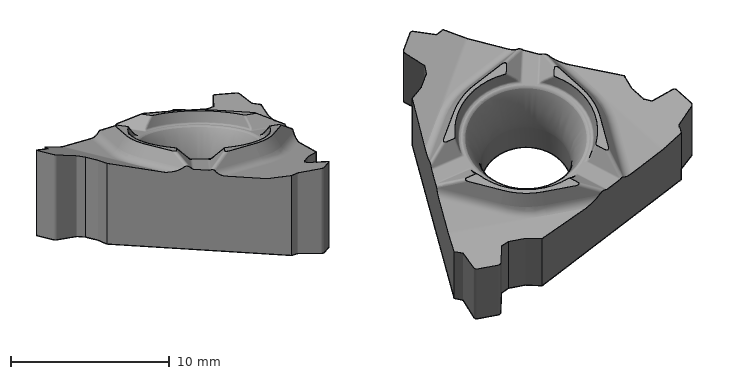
import cadquery as cq
import math

CORNERS = 3
CORNER_STEP = 360.0 / CORNERS
SQUARE_ANGLE = 90.0

total_height = 6.05
tooth_height = 5.58
chip_floor_height = 4.93
ledge_height = 5.25

side_distance = 6.35
shoulder_y = -7.45
tooth_root_y = -7.72
tooth_tip_y = -9.3
tooth_centre_x = -4.58
tooth_root_half_width = 1.25
tooth_tip_half_width = 0.84
shoulder_start_x = -2.83
shoulder_end_x = -1.73
heel_x = -0.73
tip_radius = 0.22
root_radius = 0.1

rake_start = 5.85
rake_blend = 0.084

boss_radius = 4.78
flank_angle = math.radians(34)
foot_radius = 0.76

groove_angle = -45.0
groove_shift = 0.07
groove_floor_width = 1.1
groove_top_width = 3.01
groove_floor_radius = 0.22
groove_wall_offset = 1.12
flank_edge_span = (5.4, 6.23)
flank_edge_radius = 0.22
recess_edge_span = (4.1, 4.46)
recess_edge_radius = 0.15

hole_diameter = 5.7
seat_bottom_height = 2.21
seat_mouth_radius = 3.89
lip_radius = 0.22
recess_floor_radius = 4.25
recess_top_radius = 4.5
recess_foot_radius = 0.19

REACH = 14.88
OVERSHOOT = 0.93
EDGE_MARGIN = 0.19
PICK_SIZE = 0.02


def around_axis(shape, index):
    return shape.rotate((0, 0, 0), (0, 0, 1), index * CORNER_STEP)


def repeat(shape):
    """Join one copy of the shape per corner."""
    joined = shape
    for index in range(1, CORNERS):
        joined = joined.union(around_axis(shape, index))
    return joined


def turn(point, degrees):
    """Rotate a plan point about the axis."""
    angle = math.radians(degrees)
    x, y = point
    return (x * math.cos(angle) - y * math.sin(angle), x * math.sin(angle) + y * math.cos(angle))


def outline_prism():
    """Plan outline of the insert at full height."""
    side_direction = math.radians(CORNER_STEP - SQUARE_ANGLE)
    heel_y = (heel_x * math.sin(side_direction) - side_distance) / math.cos(side_direction)
    corner = [
        (-side_distance, shoulder_y),
        (tooth_centre_x - tooth_root_half_width, tooth_root_y),
        (tooth_centre_x - tooth_tip_half_width, tooth_tip_y),
        (tooth_centre_x + tooth_tip_half_width, tooth_tip_y),
        (tooth_centre_x + tooth_root_half_width, tooth_root_y),
        (shoulder_start_x, shoulder_y),
        (shoulder_end_x, shoulder_y),
        (heel_x, heel_y),
    ]
    points = [turn(point, index * CORNER_STEP) for index in range(CORNERS) for point in corner]
    prism = cq.Workplane("XY").polyline(points).close().extrude(total_height)
    root_left, tip_left, tip_right, root_right = corner[1:5]
    rounded = [
        (root_left, root_radius),
        (tip_left, tip_radius),
        (tip_right, tip_radius),
        (root_right, root_radius),
    ]
    for point, radius in rounded:
        for index in range(CORNERS):
            x, y = turn(point, index * CORNER_STEP)
            near_corner = cq.selectors.BoxSelector(
                (x - PICK_SIZE, y - PICK_SIZE, 0), (x + PICK_SIZE, y + PICK_SIZE, total_height)
            )
            prism = prism.edges(near_corner).fillet(radius)
    return prism


def chip_floor():
    """Slab with a flat floor whose -Y end climbs along the rake face."""
    slope = (tooth_height - chip_floor_height) / (-tooth_tip_y - rake_start)
    slope_angle = math.atan(slope)
    blend_end = (
        -rake_start - rake_blend * math.cos(slope_angle),
        chip_floor_height + rake_blend * math.sin(slope_angle),
    )
    return (
        cq.Workplane("YZ", origin=(-REACH, 0, 0))
        .moveTo(REACH, 0)
        .lineTo(REACH, chip_floor_height)
        .lineTo(-rake_start + rake_blend, chip_floor_height)
        .tangentArcPoint(blend_end, relative=False)
        .lineTo(-REACH, chip_floor_height + slope * (REACH - rake_start))
        .lineTo(-REACH, 0)
        .close()
        .extrude(2 * REACH)
    )


def boss_profile(plane):
    """Half section of the boss, from the axis out to the round foot."""
    foot_top = chip_floor_height + foot_radius * (1 - math.sin(flank_angle))
    flank_foot = boss_radius + (total_height - foot_top) * math.tan(flank_angle)
    foot_end = flank_foot + foot_radius * math.cos(flank_angle)
    return (
        cq.Workplane(plane)
        .moveTo(0, 0)
        .lineTo(0, total_height)
        .lineTo(boss_radius, total_height)
        .lineTo(flank_foot, foot_top)
        .tangentArcPoint((foot_end, chip_floor_height), relative=False)
        .lineTo(foot_end, 0)
        .close()
    )


def boss():
    """Round stretches joined by square corners, one of each per insert corner."""
    side_flank = boss_profile("XZ").extrude(REACH)
    end_plane = cq.Plane(origin=(0, 0, 0), xDir=(0, -1, 0), normal=(-1, 0, 0))
    end_flank = boss_profile(end_plane).extrude(-REACH)
    square_corner = side_flank.intersect(end_flank)
    round_stretch = boss_profile("XZ").revolve(CORNER_STEP - SQUARE_ANGLE, (0, 0, 0), (0, 1, 0))
    return repeat(square_corner.union(round_stretch))


def groove():
    """Radial trapezoid groove with rounded floor edges, pointing along groove_angle."""
    height = total_height - ledge_height
    widening = (groove_top_width - groove_floor_width) / height
    open_height = height + OVERSHOOT
    floor_half_width = groove_floor_width / 2
    open_half_width = floor_half_width + open_height * widening / 2
    tool = (
        cq.Workplane("YZ")
        .polyline([
            (-floor_half_width, ledge_height),
            (floor_half_width, ledge_height),
            (open_half_width, ledge_height + open_height),
            (-open_half_width, ledge_height + open_height),
        ])
        .close()
        .extrude(REACH)
    )
    tool = tool.faces("<Z").edges("|X").fillet(groove_floor_radius)
    tool = tool.translate((0, -groove_shift, 0))
    return tool.rotate((0, 0, 0), (0, 0, 1), groove_angle)


def hole_tool():
    """Through hole, concave screw seat, ledge around its lip and recess up to the boss top."""
    hole_radius = hole_diameter / 2
    widening = seat_mouth_radius - hole_radius
    rise = ledge_height - seat_bottom_height
    seat_radius = (widening**2 + rise**2) / (2 * widening)
    half_sweep = math.asin(rise / seat_radius) / 2
    seat_middle = (
        hole_radius + seat_radius * (1 - math.cos(half_sweep)),
        seat_bottom_height + seat_radius * math.sin(half_sweep),
    )
    wall_slope = (recess_top_radius - recess_floor_radius) / (total_height - ledge_height)
    tool = (
        cq.Workplane("XZ")
        .moveTo(0, -OVERSHOOT)
        .lineTo(hole_radius, -OVERSHOOT)
        .lineTo(hole_radius, seat_bottom_height)
        .threePointArc(seat_middle, (seat_mouth_radius, ledge_height))
        .lineTo(recess_floor_radius, ledge_height)
        .lineTo(recess_top_radius + OVERSHOOT * wall_slope, total_height + OVERSHOOT)
        .lineTo(0, total_height + OVERSHOOT)
        .close()
        .revolve(360, (0, 0, 0), (0, 1, 0))
    )
    at_ledge = cq.selectors.BoxSelector(
        (-REACH, -REACH, ledge_height - PICK_SIZE), (REACH, REACH, ledge_height + PICK_SIZE)
    )
    ledge_edges = tool.edges(at_ledge).edges("%CIRCLE")
    lip = ledge_edges.edges(cq.selectors.RadiusNthSelector(0))
    foot = ledge_edges.edges(cq.selectors.RadiusNthSelector(1))
    rounded = tool.val().fillet(lip_radius, lip.vals()).fillet(recess_foot_radius, foot.vals())
    return cq.Workplane(obj=rounded)


def round_groove_walls(part, along, radius):
    """Round the sloping edges of the groove walls lying between two distances from the axis."""
    inner, outer = along
    half_size = (outer - inner) / 2
    for index in range(CORNERS):
        for side in (-1, 1):
            middle = ((inner + outer) / 2, side * groove_wall_offset)
            x, y = turn(middle, groove_angle + index * CORNER_STEP)
            near_edge = cq.selectors.BoxSelector(
                (x - half_size, y - half_size, ledge_height + EDGE_MARGIN),
                (x + half_size, y + half_size, total_height - EDGE_MARGIN),
            )
            part = part.edges(near_edge).fillet(radius)
    return part


result = outline_prism().intersect(repeat(chip_floor()).union(boss()))
result = result.cut(repeat(groove()))
result = result.cut(hole_tool())
result = round_groove_walls(result, flank_edge_span, flank_edge_radius)
result = round_groove_walls(result, recess_edge_span, recess_edge_radius)